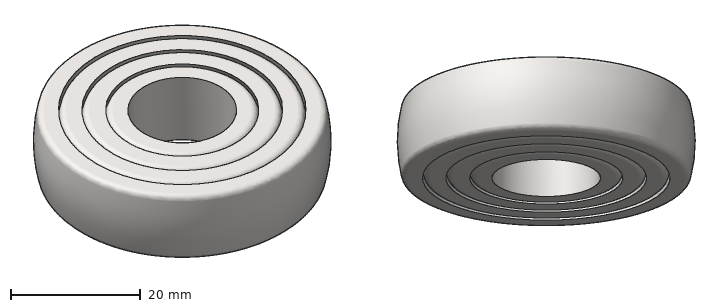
import cadquery as cq
import math

OUTER_RADIUS = 22.95
WIDTH = 12.0
HALF_WIDTH = WIDTH / 2
EDGE_RADIUS = 1.0
BORE_DIAMETER = 16.7
CLEARANCE = 0.35

OUTER_NESTED_RADIUS = 19.6
INNER_NESTED_RADIUS = 16.2
HUB_RADIUS = 12.85


def ball_slice(sphere_radius):
    """Solid ball cut flat at both faces, with rounded rims."""
    rim_radius = math.sqrt(sphere_radius**2 - HALF_WIDTH**2)
    profile = (
        cq.Workplane("XZ")
        .moveTo(0, -HALF_WIDTH)
        .lineTo(rim_radius, -HALF_WIDTH)
        .threePointArc((sphere_radius, 0), (rim_radius, HALF_WIDTH))
        .lineTo(0, HALF_WIDTH)
        .close()
    )
    ball = profile.revolve(360, (0, 0, 0), (0, 1, 0))
    return ball.faces("|Z").edges().fillet(EDGE_RADIUS)


def socket_ring(sphere_radius, inner_ball_radius):
    """Ring with a spherical socket that clears the ball-shaped ring inside it."""
    socket = cq.Workplane("XY").sphere(inner_ball_radius + CLEARANCE)
    return ball_slice(sphere_radius).cut(socket)


def bored_hub():
    """Innermost ring, with a straight through bore."""
    bore = cq.Workplane("XY").cylinder(WIDTH, BORE_DIAMETER / 2)
    return ball_slice(HUB_RADIUS).cut(bore)


outer_ring = socket_ring(OUTER_RADIUS, OUTER_NESTED_RADIUS)
outer_nested_ring = socket_ring(OUTER_NESTED_RADIUS, INNER_NESTED_RADIUS)
inner_nested_ring = socket_ring(INNER_NESTED_RADIUS, HUB_RADIUS)
hub = bored_hub()

result = cq.Compound.makeCompound(
    [
        outer_ring.solids().val(),
        outer_nested_ring.solids().val(),
        inner_nested_ring.solids().val(),
        hub.solids().val(),
    ]
)